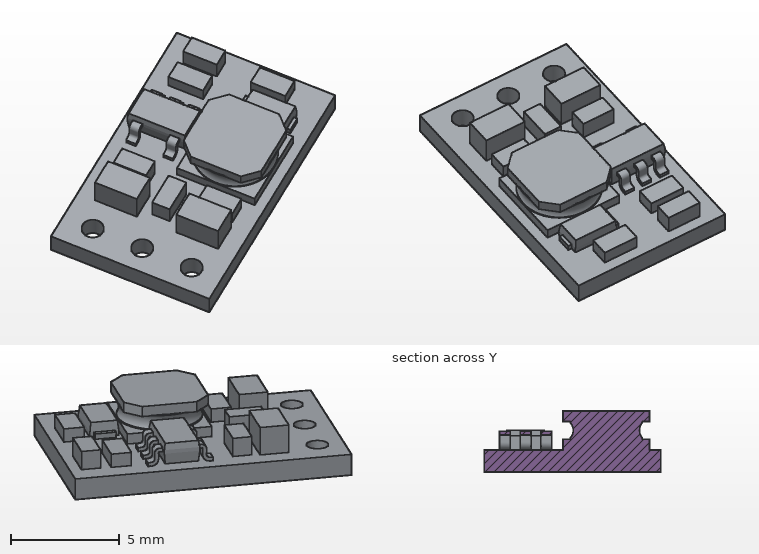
import cadquery as cq


BOARD_X = 8.14
BOARD_Y = 13.08
BOARD_TOP = 1.03
TOTAL_HEIGHT = 2.83

HOLE_DIAMETER = 1.02
PAD_DIAMETER = 1.5
HOLE_PITCH = 2.54
HOLE_ROW_Y = -5.28

RESISTOR = (1.78, 0.95, 0.65, 0.46)
SMALL_CAPACITOR = (1.73, 0.9, 0.9, 0.31)
SHORT_CAPACITOR = (1.67, 0.9, 0.9, 0.29)
LARGE_CAPACITOR = (2.15, 1.36, 1.36, 0.51)

CHIPS = [
    (SMALL_CAPACITOR, -2.16, 5.55, 0),
    (RESISTOR, 1.36, 5.52, 0),
    (RESISTOR, -2.17, 4.12, 0),
    (SHORT_CAPACITOR, -2.22, -1.61, 0),
    (RESISTOR, 2.17, -1.64, 0),
    (SMALL_CAPACITOR, 0.0, -2.47, 90),
    (LARGE_CAPACITOR, -2.09, -3.1, 0),
    (LARGE_CAPACITOR, 2.08, -3.1, 0),
]

INDUCTOR_X = 1.55
INDUCTOR_Y = 1.22
INDUCTOR_SIDE = 3.99
FLANGE_THICKNESS = 0.5
FLANGE_CHAMFER = 0.7
CORE_RIM_RADIUS = 1.99
CORE_WAIST_RADIUS = 1.88
CORE_RIM_HEIGHT = 0.05
TERMINAL_WIDTH = 0.58
TERMINAL_HEIGHT = 0.22
TERMINAL_OFFSET = 1.53

DIODE_X = 1.86
DIODE_Y = 4.03
DIODE_LENGTH = 2.3
DIODE_WIDTH = 1.36
DIODE_HEIGHT = 0.73
DIODE_SEAM_HEIGHT = 0.27
DIODE_DRAFT = 0.05
DIODE_TAB_HEIGHT = 0.26
WIDE_TAB_LENGTH = 0.24
WIDE_TAB_WIDTH = 1.0
NARROW_TAB_LENGTH = 0.18
NARROW_TAB_WIDTH = 0.73

REGULATOR_X = -2.16
REGULATOR_Y = 1.39
REGULATOR_LENGTH = 2.98
REGULATOR_WIDTH = 1.67
REGULATOR_BOTTOM = 0.16
REGULATOR_TOP = 1.18
REGULATOR_DRAFT = 0.05
LEAD_PITCH = 0.95
LEAD_WIDTH = 0.5
LEAD_THICKNESS = 0.18
LEAD_TOP = 0.86
LEAD_SHANK_REACH = 1.23
LEAD_TOE_REACH = 1.54
LEAD_FOOT_TOP = 0.22
LEAD_TOE_TOP = 0.17
LEAD_KNEE_INNER_RADIUS = 0.05
LEAD_ANKLE_INNER_RADIUS = 0.15


def block(length, width, height, bottom=0.0):
    """Box centred on X and Y, standing at the given height."""
    return cq.Workplane("XY").workplane(offset=bottom).box(
        length, width, height, centered=(True, True, False)
    )


def tapered_block(length, width, bottom, top, draft):
    """Rectangular frustum that narrows by draft on every side from bottom to top."""
    return (
        cq.Workplane("XY")
        .workplane(offset=bottom)
        .rect(length, width)
        .workplane(offset=top - bottom)
        .rect(length - 2 * draft, width - 2 * draft)
        .loft()
    )


def make_board():
    """Board with a row of plated holes; the pads are flush with the board."""
    holes = [(i * HOLE_PITCH, HOLE_ROW_Y) for i in (-1, 0, 1)]
    board = block(BOARD_X, BOARD_Y, BOARD_TOP)
    bores = cq.Workplane("XY").pushPoints(holes).circle(PAD_DIAMETER / 2).extrude(BOARD_TOP)
    board = board.cut(bores)
    for x, y in holes:
        pad = (
            cq.Workplane("XY")
            .center(x, y)
            .circle(PAD_DIAMETER / 2)
            .circle(HOLE_DIAMETER / 2)
            .extrude(BOARD_TOP)
        )
        board = board.union(pad, clean=False)
    return board


def make_chip(length, width, height, cap):
    """Two-terminal chip; the seams between body and end caps are kept."""
    chip = block(length - 2 * cap, width, height)
    for side in (-1, 1):
        end_cap = block(cap, width, height).translate((side * (length - cap) / 2, 0, 0))
        chip = chip.union(end_cap, clean=False)
    return chip


def make_inductor():
    """Square base, waisted round core and chamfered top flange."""
    height = TOTAL_HEIGHT - BOARD_TOP
    flange_bottom = height - FLANGE_THICKNESS
    base = block(INDUCTOR_SIDE, INDUCTOR_SIDE, FLANGE_THICKNESS)
    for side in (-1, 1):
        terminal = (
            cq.Workplane("YZ")
            .workplane(offset=-INDUCTOR_SIDE / 2)
            .center(side * TERMINAL_OFFSET, 0)
            .moveTo(-TERMINAL_WIDTH / 2, 0)
            .threePointArc((0, TERMINAL_HEIGHT), (TERMINAL_WIDTH / 2, 0))
            .close()
            .extrude(INDUCTOR_SIDE)
        )
        base = base.union(terminal, clean=False)
    flange = (
        block(INDUCTOR_SIDE, INDUCTOR_SIDE, FLANGE_THICKNESS, flange_bottom)
        .edges("|Z")
        .chamfer(FLANGE_CHAMFER)
    )
    core = (
        cq.Workplane("XZ")
        .moveTo(0, FLANGE_THICKNESS)
        .lineTo(CORE_RIM_RADIUS, FLANGE_THICKNESS)
        .lineTo(CORE_RIM_RADIUS, FLANGE_THICKNESS + CORE_RIM_HEIGHT)
        .threePointArc(
            (CORE_WAIST_RADIUS, height / 2),
            (CORE_RIM_RADIUS, flange_bottom - CORE_RIM_HEIGHT),
        )
        .lineTo(CORE_RIM_RADIUS, flange_bottom)
        .lineTo(0, flange_bottom)
        .close()
        .revolve(360, (0, 0, 0), (0, 1, 0))
    )
    return base.union(core, clean=False).union(flange, clean=False)


def make_diode():
    """Moulded body, drafted above its seam, with a wide and a narrow end tab."""
    body = block(DIODE_LENGTH, DIODE_WIDTH, DIODE_SEAM_HEIGHT)
    upper = tapered_block(
        DIODE_LENGTH, DIODE_WIDTH, DIODE_SEAM_HEIGHT, DIODE_HEIGHT, DIODE_DRAFT
    )
    wide_tab = block(WIDE_TAB_LENGTH, WIDE_TAB_WIDTH, DIODE_TAB_HEIGHT).translate(
        (-(DIODE_LENGTH + WIDE_TAB_LENGTH) / 2, 0, 0)
    )
    narrow_tab = block(NARROW_TAB_LENGTH, NARROW_TAB_WIDTH, DIODE_TAB_HEIGHT).translate(
        ((DIODE_LENGTH + NARROW_TAB_LENGTH) / 2, 0, 0)
    )
    return body.union(upper).union(wide_tab).union(narrow_tab)


def make_lead():
    """Gull-wing lead that reaches out from the body toward +Y; its foot dips slightly into the board."""
    shank_inner = LEAD_SHANK_REACH - LEAD_THICKNESS
    lead_bottom = LEAD_TOP - LEAD_THICKNESS
    outline = [
        (0, LEAD_TOP),
        (LEAD_SHANK_REACH, LEAD_TOP),
        (LEAD_SHANK_REACH, LEAD_FOOT_TOP),
        (LEAD_TOE_REACH, LEAD_TOE_TOP),
        (LEAD_TOE_REACH, LEAD_TOE_TOP - LEAD_THICKNESS),
        (shank_inner, LEAD_FOOT_TOP - LEAD_THICKNESS),
        (shank_inner, lead_bottom),
        (0, lead_bottom),
    ]
    lead = cq.Workplane("YZ").polyline(outline).close().extrude(LEAD_WIDTH / 2, both=True)

    def bend(edge_y, edge_z, radius):
        nonlocal lead
        corner = cq.selectors.NearestToPointSelector((0, edge_y, edge_z))
        lead = lead.edges("|X").edges(corner).fillet(radius)

    bend(LEAD_SHANK_REACH, LEAD_TOP, LEAD_KNEE_INNER_RADIUS + LEAD_THICKNESS)
    bend(shank_inner, lead_bottom, LEAD_KNEE_INNER_RADIUS)
    bend(LEAD_SHANK_REACH, LEAD_FOOT_TOP, LEAD_ANKLE_INNER_RADIUS)
    bend(shank_inner, LEAD_FOOT_TOP - LEAD_THICKNESS, LEAD_ANKLE_INNER_RADIUS + LEAD_THICKNESS)
    return lead


def make_regulator():
    """Moulded body drafted both ways from a straight band, three leads at +Y and two at -Y."""
    band_bottom = LEAD_TOP - LEAD_THICKNESS
    body = block(REGULATOR_LENGTH, REGULATOR_WIDTH, LEAD_THICKNESS, band_bottom)
    upper = tapered_block(
        REGULATOR_LENGTH, REGULATOR_WIDTH, LEAD_TOP, REGULATOR_TOP, REGULATOR_DRAFT
    )
    lower = tapered_block(
        REGULATOR_LENGTH, REGULATOR_WIDTH, band_bottom, REGULATOR_BOTTOM, REGULATOR_DRAFT
    )
    regulator = body.union(upper).union(lower)
    lead = make_lead()
    for column in (-1, 0, 1):
        regulator = regulator.union(lead.translate((column * LEAD_PITCH, 0, 0)))
    opposite_lead = lead.mirror("XZ")
    for column in (-1, 1):
        regulator = regulator.union(opposite_lead.translate((column * LEAD_PITCH, 0, 0)))
    return regulator


result = make_board()
for kind, chip_x, chip_y, angle in CHIPS:
    chip = make_chip(*kind).rotate((0, 0, 0), (0, 0, 1), angle)
    result = result.union(chip.translate((chip_x, chip_y, BOARD_TOP)), clean=False)
for component, place_x, place_y in [
    (make_inductor(), INDUCTOR_X, INDUCTOR_Y),
    (make_diode(), DIODE_X, DIODE_Y),
    (make_regulator(), REGULATOR_X, REGULATOR_Y),
]:
    result = result.union(component.translate((place_x, place_y, BOARD_TOP)), clean=False)